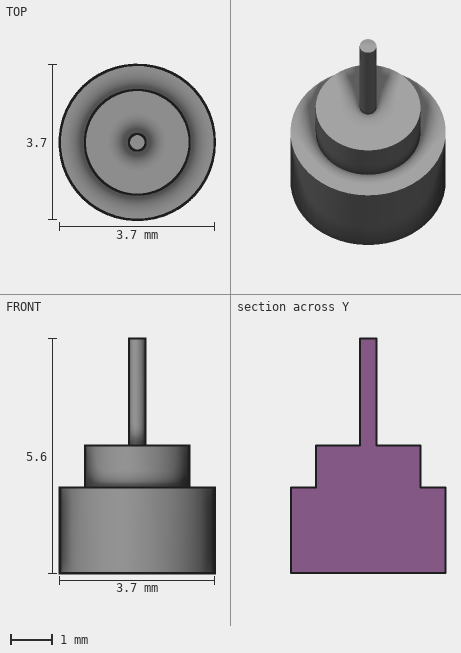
import cadquery as cq

total_height = 5.6
body_diameter = 3.7
body_height = 2.05
collar_diameter = 2.5
collar_height = 1.0
pin_diameter = 0.4
pin_length = total_height - body_height - collar_height


def add_cylinder(part, diameter, height):
    """Stack a concentric cylinder on the top face of the part."""
    return part.faces(">Z").workplane().circle(diameter / 2).extrude(height)


body = cq.Workplane("XY").circle(body_diameter / 2).extrude(body_height)

body_with_collar = add_cylinder(body, collar_diameter, collar_height)
result = add_cylinder(body_with_collar, pin_diameter, pin_length)